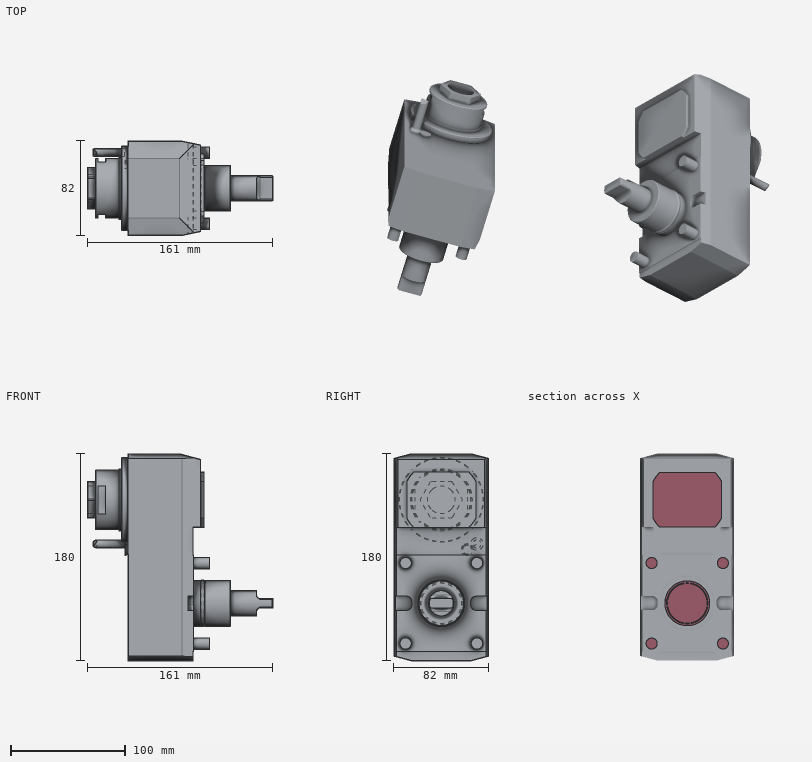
import math

import cadquery as cq


TOP_Z = 40.0
BOTTOM_Z = -140.0
HALF_WIDTH = 41.0
FLAT_HALF_WIDTH = 26.0
SLOPE_ANGLE = 15.0
BEVEL_DROP = (HALF_WIDTH - FLAT_HALF_WIDTH) * math.tan(math.radians(SLOPE_ANGLE))
REAR_X = 63.0
ROOF_SLOPE_X = 44.7
ROOF_SLOPE_DROP = (REAR_X - ROOF_SLOPE_X) * math.tan(math.radians(SLOPE_ANGLE))
SIDE_TAPER_X = 47.0
SIDE_TAPER_ANGLE = 12.0
SIDE_TAPER_DROP = (REAR_X - SIDE_TAPER_X) * math.tan(math.radians(SIDE_TAPER_ANGLE))

RECESS_TOP_Z = -24.0
RECESS_X = 56.4
SEAT_X = 57.0
SEAT_HALF_HEIGHT = 42.0

COVER_THICKNESS = 3.0
COVER_WIDTH = 60.0
COVER_HEIGHT = 48.0
COVER_CORNER_RADIUS = 34.0

FLANGE_RADIUS = 36.75
FLANGE_FRONT_X = -6.0
FLANGE_CHAMFER = 0.5
COLLAR_RADIUS = 27.0
COLLAR_FRONT_X = -7.8
NUT_RADIUS = 26.0
NUT_FRONT_X = -28.6
NUT_CHAMFER = 0.6
NUT_FLAT_FRONT_X = -26.2
NUT_FLAT_BACK_X = -19.6
NUT_FLAT_DISTANCE = 23.0
HEX_SIDES = 6
HEX_ACROSS_FLATS = 32.0
HEX_TURNED_RADIUS = 18.1
HEX_FRONT_X = -35.2
BORE_RADIUS = 12.0

PIPE_Y = 31.0
PIPE_Z = -38.4
PIPE_RADIUS = 3.5
PIPE_TIP_X = -30.5
PIPE_RIDGE_TILT = 32.0
BALL_RADIUS = 5.6
BALL_X = 1.2
SCREW_Y = 22.5
SCREW_Z = -43.3
SCREW_RADIUS = 5.1
SCREW_FRONT_X = -2.6
SCREW_RIM = 0.6
SCREW_CONE_FRONT_RADIUS = 4.6
SCREW_CONE_BACK_RADIUS = 3.8

DRIVE_Z = -90.0
PILOT_RADIUS = 20.0
PILOT_END_X = 89.2
PILOT_CHAMFER = 0.6
GROOVE_FRONT_X = 63.0
GROOVE_BACK_X = 67.0
GROOVE_RADIUS = 17.5
RING_SECTION_RADIUS = 1.7
RING_RADIUS = 18.7
SHAFT_RADIUS = 11.0
SHAFT_END_X = 125.83
SHAFT_CHAMFER = 0.6
TANG_START_X = 111.8
TANG_HALF_THICKNESS = 4.0
TANG_FILLET = 3.0
TANG_FLAT_HALF_WIDTH = 9.2
TANG_BEVEL_ANGLE = 30.0
TANG_BEVEL_DROP = (SHAFT_RADIUS - TANG_FLAT_HALF_WIDTH) * math.tan(math.radians(TANG_BEVEL_ANGLE))

PIN_RADIUS = 5.0
PIN_END_X = 70.9
PIN_Y = 31.0
PIN_Z_OFFSET = 35.0
KEY_WIDTH = 12.4
KEY_FLOOR_X = 52.2
KEY_LENGTH = 12.0
KEY_CORNER_RADIUS = 5.0


def cylinder_x(y, z, radius, x_start, x_end):
    """Cylinder parallel to X between two X positions."""
    return (
        cq.Workplane("YZ", origin=(x_start, y, z))
        .circle(radius)
        .extrude(x_end - x_start)
    )


def make_housing():
    """Housing: common volume of its end, side and plan outlines."""
    shoulder_top = TOP_Z - BEVEL_DROP
    shoulder_bottom = BOTTOM_Z + BEVEL_DROP
    end_outline = (
        cq.Workplane("YZ")
        .polyline([
            (-FLAT_HALF_WIDTH, TOP_Z),
            (FLAT_HALF_WIDTH, TOP_Z),
            (HALF_WIDTH, shoulder_top),
            (HALF_WIDTH, shoulder_bottom),
            (FLAT_HALF_WIDTH, BOTTOM_Z),
            (-FLAT_HALF_WIDTH, BOTTOM_Z),
            (-HALF_WIDTH, shoulder_bottom),
            (-HALF_WIDTH, shoulder_top),
        ])
        .close()
        .extrude(REAR_X)
    )
    seat_top = DRIVE_Z + SEAT_HALF_HEIGHT
    seat_bottom = DRIVE_Z - SEAT_HALF_HEIGHT
    side_outline = (
        cq.Workplane("XZ")
        .polyline([
            (0, BOTTOM_Z),
            (0, TOP_Z),
            (ROOF_SLOPE_X, TOP_Z),
            (REAR_X, TOP_Z - ROOF_SLOPE_DROP),
            (REAR_X, RECESS_TOP_Z),
            (RECESS_X, RECESS_TOP_Z),
            (RECESS_X, seat_top),
            (SEAT_X, seat_top),
            (SEAT_X, seat_bottom),
            (RECESS_X, seat_bottom),
            (RECESS_X, BOTTOM_Z),
        ])
        .close()
        .extrude(HALF_WIDTH, both=True)
    )
    rear_half_width = HALF_WIDTH - SIDE_TAPER_DROP
    plan_outline = (
        cq.Workplane("XY", origin=(0, 0, BOTTOM_Z))
        .polyline([
            (0, -HALF_WIDTH),
            (SIDE_TAPER_X, -HALF_WIDTH),
            (REAR_X, -rear_half_width),
            (REAR_X, rear_half_width),
            (SIDE_TAPER_X, HALF_WIDTH),
            (0, HALF_WIDTH),
        ])
        .close()
        .extrude(TOP_Z - BOTTOM_Z)
    )
    return end_outline.intersect(side_outline).intersect(plan_outline)


def make_key_slot(side):
    """Round-cornered key slot, open towards the given side (+1 or -1 in Y)."""
    rear_half_width = HALF_WIDTH - SIDE_TAPER_DROP
    inner_y = rear_half_width - KEY_LENGTH
    slot_depth = REAR_X - KEY_FLOOR_X
    slot_span = HALF_WIDTH - inner_y + KEY_CORNER_RADIUS
    return (
        cq.Workplane("YZ", origin=(KEY_FLOOR_X, side * (inner_y + slot_span / 2), DRIVE_Z))
        .rect(slot_span, KEY_WIDTH)
        .extrude(slot_depth)
        .edges("|X")
        .fillet(KEY_CORNER_RADIUS)
    )


def make_cover():
    """Rear cover: rectangle with its corners turned to a common radius."""
    blank = (
        cq.Workplane("YZ", origin=(REAR_X, 0, 0))
        .rect(COVER_WIDTH, COVER_HEIGHT)
        .extrude(COVER_THICKNESS)
    )
    turned = cylinder_x(0, 0, COVER_CORNER_RADIUS, REAR_X, REAR_X + COVER_THICKNESS)
    return blank.intersect(turned)


def make_output():
    """Flange, collar and clamping nut with two wrench flats and a bored hexagon."""
    flange = cylinder_x(0, 0, FLANGE_RADIUS, FLANGE_FRONT_X, 0).edges().chamfer(FLANGE_CHAMFER)
    collar = cylinder_x(0, 0, COLLAR_RADIUS, COLLAR_FRONT_X, FLANGE_FRONT_X)
    nut = (
        cylinder_x(0, 0, NUT_RADIUS, NUT_FRONT_X, COLLAR_FRONT_X)
        .faces("<X")
        .edges()
        .chamfer(NUT_CHAMFER)
    )
    flat_width = NUT_FLAT_BACK_X - NUT_FLAT_FRONT_X
    flat_band = cylinder_x(0, 0, NUT_RADIUS, NUT_FLAT_FRONT_X, NUT_FLAT_BACK_X)
    between_flats = (
        cq.Workplane("YZ", origin=(NUT_FLAT_FRONT_X, 0, 0))
        .rect(2 * NUT_FLAT_DISTANCE, 2 * NUT_RADIUS)
        .extrude(flat_width)
    )
    nut = nut.cut(flat_band.cut(between_flats))

    hex_corner_diameter = HEX_ACROSS_FLATS / math.cos(math.pi / HEX_SIDES)
    hexagon = (
        cq.Workplane("YZ", origin=(HEX_FRONT_X, 0, 0))
        .polygon(HEX_SIDES, hex_corner_diameter)
        .extrude(NUT_FRONT_X - HEX_FRONT_X)
    )
    hexagon = hexagon.intersect(cylinder_x(0, 0, HEX_TURNED_RADIUS, HEX_FRONT_X, NUT_FRONT_X))
    bore = cylinder_x(0, 0, BORE_RADIUS, HEX_FRONT_X, NUT_FRONT_X)
    return flange.union(collar).union(nut).union(hexagon.cut(bore))


def make_coolant_pipe():
    """Coolant pipe on a ball, its tip cut to a 45 degree wedge with a tilted ridge."""
    pipe = cylinder_x(PIPE_Y, PIPE_Z, PIPE_RADIUS, PIPE_TIP_X, BALL_X)
    reach = 2 * PIPE_RADIUS
    wedge = (
        cq.Workplane("XZ")
        .polyline([
            (PIPE_TIP_X, 0),
            (PIPE_TIP_X + reach, reach),
            (BALL_X, reach),
            (BALL_X, -reach),
            (PIPE_TIP_X + reach, -reach),
        ])
        .close()
        .extrude(reach, both=True)
        .rotate((0, 0, 0), (1, 0, 0), PIPE_RIDGE_TILT)
        .translate((0, PIPE_Y, PIPE_Z))
    )
    ball = cq.Workplane("XY", origin=(BALL_X, PIPE_Y, PIPE_Z)).sphere(BALL_RADIUS)
    return pipe.intersect(wedge).union(ball)


def make_screw_head():
    """Rimmed screw head tapering towards the housing."""
    return (
        cq.Workplane("XY")
        .polyline([
            (SCREW_FRONT_X, 0),
            (SCREW_FRONT_X, SCREW_RADIUS),
            (SCREW_FRONT_X + SCREW_RIM, SCREW_RADIUS),
            (SCREW_FRONT_X + SCREW_RIM, SCREW_CONE_FRONT_RADIUS),
            (0, SCREW_CONE_BACK_RADIUS),
            (0, 0),
        ])
        .close()
        .revolve(360, (0, 0), (1, 0))
        .translate((0, SCREW_Y, SCREW_Z))
    )


def make_pilot():
    """Pilot with a ring groove and a round-section sealing ring lying in it."""
    pilot = (
        cylinder_x(0, DRIVE_Z, PILOT_RADIUS, KEY_FLOOR_X, PILOT_END_X)
        .faces(">X")
        .edges()
        .chamfer(PILOT_CHAMFER)
    )
    groove = cylinder_x(0, DRIVE_Z, PILOT_RADIUS, GROOVE_FRONT_X, GROOVE_BACK_X).cut(
        cylinder_x(0, DRIVE_Z, GROOVE_RADIUS, GROOVE_FRONT_X, GROOVE_BACK_X)
    )
    ring = (
        cq.Workplane("XY")
        .center(GROOVE_FRONT_X + RING_SECTION_RADIUS, RING_RADIUS)
        .circle(RING_SECTION_RADIUS)
        .revolve(360, (0, -RING_RADIUS), (1, -RING_RADIUS))
        .translate((0, 0, DRIVE_Z))
    )
    return pilot.cut(groove).union(ring)


def make_tang_cutter():
    """Material removed above the tang, with the filleted shoulder and bevelled edges."""
    floor_x = TANG_START_X + TANG_FILLET
    fillet_top = TANG_HALF_THICKNESS + TANG_FILLET
    above_tang = (
        cq.Workplane("XZ")
        .moveTo(SHAFT_END_X, TANG_HALF_THICKNESS)
        .lineTo(floor_x, TANG_HALF_THICKNESS)
        .radiusArc((TANG_START_X, fillet_top), TANG_FILLET)
        .lineTo(TANG_START_X, SHAFT_RADIUS)
        .lineTo(SHAFT_END_X, SHAFT_RADIUS)
        .close()
        .extrude(SHAFT_RADIUS, both=True)
    )
    edge_bevel = (
        cq.Workplane("YZ", origin=(floor_x, 0, 0))
        .polyline([
            (TANG_FLAT_HALF_WIDTH, TANG_HALF_THICKNESS),
            (SHAFT_RADIUS, TANG_HALF_THICKNESS - TANG_BEVEL_DROP),
            (SHAFT_RADIUS, TANG_HALF_THICKNESS),
        ])
        .close()
        .extrude(SHAFT_END_X - floor_x)
    )
    return above_tang.union(edge_bevel).union(edge_bevel.mirror("XZ"))


def make_drive_shaft():
    """Drive shaft ending in a flat tang."""
    shaft = (
        cylinder_x(0, 0, SHAFT_RADIUS, PILOT_END_X, SHAFT_END_X)
        .faces(">X")
        .edges()
        .chamfer(SHAFT_CHAMFER)
    )
    cutter = make_tang_cutter()
    shaft = shaft.cut(cutter).cut(cutter.mirror("XY"))
    return shaft.translate((0, 0, DRIVE_Z))


def make_locating_pins():
    """Four locating pins around the drive shaft."""
    pins = cq.Workplane("XY")
    for y in (-PIN_Y, PIN_Y):
        for z in (DRIVE_Z - PIN_Z_OFFSET, DRIVE_Z + PIN_Z_OFFSET):
            pins = pins.union(cylinder_x(y, z, PIN_RADIUS, KEY_FLOOR_X, PIN_END_X))
    return pins


result = make_housing()
for slot_side in (-1, 1):
    result = result.cut(make_key_slot(slot_side))
result = (
    result.union(make_cover())
    .union(make_output())
    .union(make_coolant_pipe())
    .union(make_screw_head())
    .union(make_pilot())
    .union(make_drive_shaft())
    .union(make_locating_pins())
)